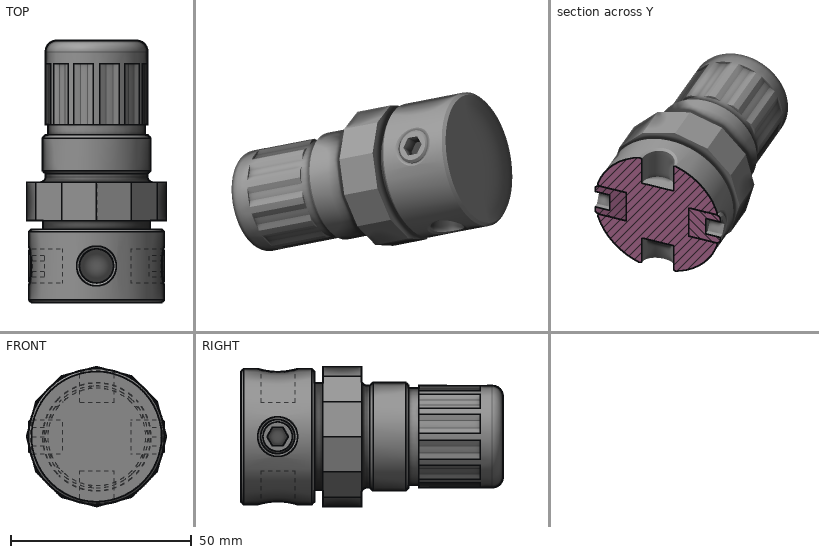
import cadquery as cq
import math

TOTAL_LENGTH = 72.65

HOUSING_RADIUS = 18.8
HOUSING_LENGTH = 20.4
HOUSING_CHAMFER = 0.8
NECK_RADIUS = 14.9
NECK_LENGTH = 2.3
NECK_END = HOUSING_LENGTH + NECK_LENGTH

OPEN_PORTS = [(0, 0, 1), (0, 0, -1)]
PLUGGED_PORTS = [(1, 0, 0), (-1, 0, 0)]
PORT_Y = HOUSING_LENGTH / 2
PORT_RADIUS = 4.7
PORT_CHAMFER_DEPTH = 0.4
PORT_CHAMFER_WIDTH = 0.8
PORT_FLOOR = 9.45

PLUG_CHAMFER = 0.65
PLUG_LENGTH = HOUSING_RADIUS - PORT_FLOOR
SOCKET_SIDES = 6
SOCKET_ACROSS_FLATS = 5.1
SOCKET_DEPTH = 4.35

FLANGE_SIDES = 12
FLANGE_CORNER_DIAMETER = 38.7
FLANGE_LENGTH = 10.7
FLANGE_END = NECK_END + FLANGE_LENGTH
UNDERCUT_LENGTH = 2.3
UNDERCUT_FILLET = 1.45
BARREL_RADIUS = 15.05
BARREL_LENGTH = 10.75
BARREL_CHAMFER = 0.9
UNDERCUT_RADIUS = BARREL_RADIUS - BARREL_CHAMFER
BARREL_START = FLANGE_END + UNDERCUT_LENGTH
BARREL_END = BARREL_START + BARREL_LENGTH
COLLAR_RADIUS = 13.5
COLLAR_LENGTH = 2.8
COLLAR_END = BARREL_END + COLLAR_LENGTH

KNOB_RADIUS = 14.2
KNOB_LENGTH = TOTAL_LENGTH - COLLAR_END
KNOB_FILLET = 3.1
FLUTE_COUNT = 12
FLUTE_LENGTH = 16.9
FLUTE_FLOOR_RADIUS = COLLAR_RADIUS
FLUTE_FLOOR_WIDTH = 2.0
RIB_WIDTH = 1.9
FLUTE_OVERCUT = 0.7


def y_plane(y):
    """Sketch plane across the axis at height y, with its normal along +Y."""
    return cq.Workplane(cq.Plane(origin=(0, y, 0), xDir=(1, 0, 0), normal=(0, 1, 0)))


def port_point(direction, distance):
    """Point on a port's centre line, at a distance from the Y axis."""
    return cq.Vector(0, PORT_Y, 0) + cq.Vector(*direction) * distance


def port_plane(direction, distance):
    """Sketch plane facing outward along a port direction, at a distance from the Y axis."""
    origin = port_point(direction, distance)
    return cq.Workplane(cq.Plane(origin=origin, xDir=(0, 1, 0), normal=direction))


def port_mouth(direction):
    """Selector for the edges where a port opens through the round side of the housing."""
    centre = port_point(direction, HOUSING_RADIUS)
    reach = cq.Vector(PORT_RADIUS, PORT_RADIUS, PORT_RADIUS)
    return cq.selectors.BoxSelector((centre - reach).toTuple(), (centre + reach).toTuple())


def make_housing():
    block = y_plane(0).circle(HOUSING_RADIUS).extrude(HOUSING_LENGTH)
    block = block.faces("<Y or >Y").edges().chamfer(HOUSING_CHAMFER)
    for direction in OPEN_PORTS + PLUGGED_PORTS:
        bore = port_plane(direction, PORT_FLOOR).circle(PORT_RADIUS).extrude(HOUSING_RADIUS)
        block = block.cut(bore)
        block = block.edges(port_mouth(direction)).chamfer(PORT_CHAMFER_WIDTH, PORT_CHAMFER_DEPTH)
    neck = y_plane(HOUSING_LENGTH).circle(NECK_RADIUS).extrude(NECK_LENGTH)
    return block.union(neck)


def make_plug(direction):
    plug = port_plane(direction, PORT_FLOOR).circle(PORT_RADIUS).extrude(PLUG_LENGTH)
    outer_face = cq.selectors.DirectionMinMaxSelector(cq.Vector(*direction))
    plug = plug.faces(outer_face).edges().chamfer(PLUG_CHAMFER)
    socket_corner_diameter = SOCKET_ACROSS_FLATS / math.cos(math.pi / SOCKET_SIDES)
    socket = (
        port_plane(direction, HOUSING_RADIUS - SOCKET_DEPTH)
        .polygon(SOCKET_SIDES, socket_corner_diameter)
        .extrude(SOCKET_DEPTH)
    )
    return plug.cut(socket)


def make_bonnet():
    flange = y_plane(NECK_END).polygon(FLANGE_SIDES, FLANGE_CORNER_DIAMETER).extrude(FLANGE_LENGTH)
    fillet_end = FLANGE_END + UNDERCUT_FILLET
    fillet_radius_at_flange = UNDERCUT_RADIUS + UNDERCUT_FILLET
    arc_offset = UNDERCUT_FILLET * (1 - math.sqrt(0.5))
    upper_part = (
        cq.Workplane("XY")
        .moveTo(0, FLANGE_END)
        .lineTo(fillet_radius_at_flange, FLANGE_END)
        .threePointArc(
            (UNDERCUT_RADIUS + arc_offset, FLANGE_END + arc_offset),
            (UNDERCUT_RADIUS, fillet_end),
        )
        .lineTo(UNDERCUT_RADIUS, BARREL_START)
        .lineTo(BARREL_RADIUS, BARREL_START + BARREL_CHAMFER)
        .lineTo(BARREL_RADIUS, BARREL_END - BARREL_CHAMFER)
        .lineTo(UNDERCUT_RADIUS, BARREL_END)
        .lineTo(COLLAR_RADIUS, BARREL_END)
        .lineTo(COLLAR_RADIUS, COLLAR_END)
        .lineTo(0, COLLAR_END)
        .close()
        .revolve(360, (0, 0, 0), (0, 1, 0))
    )
    return flange.union(upper_part)


def make_flute():
    """Cutter for one flute on the +X side: sloped flanks and a round floor."""
    half_rib_angle = math.asin(RIB_WIDTH / 2 / KNOB_RADIUS)
    half_mouth_angle = math.pi / FLUTE_COUNT - half_rib_angle
    mouth_x = KNOB_RADIUS * math.cos(half_mouth_angle)
    mouth_z = KNOB_RADIUS * math.sin(half_mouth_angle)
    floor_z = FLUTE_FLOOR_WIDTH / 2
    floor_x = math.sqrt(FLUTE_FLOOR_RADIUS**2 - floor_z**2)
    outside_x = KNOB_RADIUS + FLUTE_OVERCUT
    return (
        y_plane(COLLAR_END)
        .moveTo(floor_x, floor_z)
        .threePointArc((FLUTE_FLOOR_RADIUS, 0), (floor_x, -floor_z))
        .lineTo(mouth_x, -mouth_z)
        .lineTo(outside_x, -mouth_z)
        .lineTo(outside_x, mouth_z)
        .lineTo(mouth_x, mouth_z)
        .close()
        .extrude(FLUTE_LENGTH)
    )


def make_knob():
    knob = y_plane(COLLAR_END).circle(KNOB_RADIUS).extrude(KNOB_LENGTH)
    knob = knob.faces(">Y").edges().fillet(KNOB_FILLET)
    flute = make_flute()
    pitch = 360 / FLUTE_COUNT
    for i in range(FLUTE_COUNT):
        knob = knob.cut(flute.rotate((0, 0, 0), (0, 1, 0), (i + 0.5) * pitch))
    return knob


housing = make_housing()
bonnet = make_bonnet()
knob = make_knob()
plugs = [make_plug(direction) for direction in PLUGGED_PORTS]

result = cq.Compound.makeCompound(
    [housing.val(), bonnet.val(), knob.val(), *[plug.val() for plug in plugs]]
)